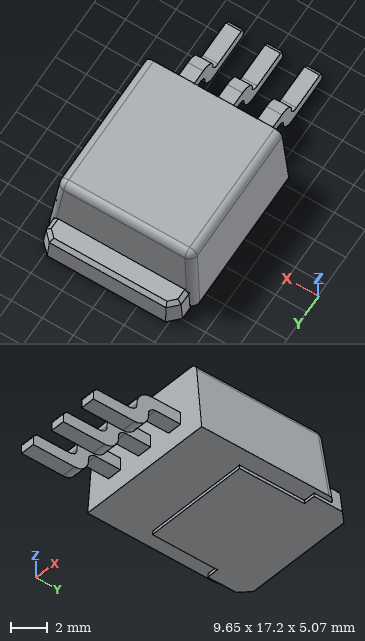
import cadquery as cq
import math

total_length = 17.25
total_height = 5.07
lead_reach = 6.23
draft_angle = 5.5
draft_slope = math.tan(math.radians(draft_angle))

housing_width = 9.65
housing_length = 9.6
housing_bottom = 0.26
housing_round = 0.5
housing_height = total_height - housing_bottom

tab_back = total_length - lead_reach
tab_head_width = 8.99
tab_pad_width = 7.37
tab_shoulder = 8.31
tab_front = 3.67
tab_height = 1.6
tab_corner = 0.67
bevel_height = 0.2
bevel_width = 0.28

lead_count = 3
lead_pitch = 2.54
lead_width = 1.0
lead_thickness = 0.83
lead_top = 2.4
foot_length = 3.12
bend_outer = 1.0
bend_inner = bend_outer / 2
lead_tip_chamfer = 0.25


def make_tab():
    """Drafted T-shaped plate with a bevel around its top."""
    head_half = tab_head_width / 2
    pad_half = tab_pad_width / 2
    right_side = [
        (pad_half, tab_front),
        (pad_half, tab_shoulder),
        (head_half, tab_shoulder),
        (head_half, tab_back - tab_corner),
        (head_half - tab_corner, tab_back),
    ]
    left_side = [(-x, y) for x, y in reversed(right_side)]
    bevel_angle = math.degrees(math.atan(bevel_width / bevel_height))
    plate = (
        cq.Workplane("XY")
        .polyline(right_side + left_side)
        .close()
        .extrude(tab_height - bevel_height, taper=draft_angle)
    )
    bevel = (
        plate.faces(">Z")
        .wires()
        .toPending()
        .workplane(origin=(0, 0, tab_height - bevel_height))
        .extrude(bevel_height, taper=bevel_angle, combine=False)
    )
    return plate.union(bevel)


def make_housing(tab):
    """Block with drafted sides and back, rounded edges, and a recess that fits the tab."""
    inset = draft_slope * housing_height
    half_width = housing_width / 2
    block = (
        cq.Workplane("XY", origin=(0, 0, housing_bottom))
        .polyline([
            (-half_width, 0),
            (half_width, 0),
            (half_width, housing_length),
            (-half_width, housing_length),
        ])
        .close()
        .workplane(offset=housing_height)
        .polyline([
            (-half_width + inset, 0),
            (half_width - inset, 0),
            (half_width - inset, housing_length - inset),
            (-half_width + inset, housing_length - inset),
        ])
        .close()
        .loft(ruled=True)
    )
    top_edges = cq.selectors.SubtractSelector(
        cq.StringSyntaxSelector(">Z"),
        cq.StringSyntaxSelector("<Y"),
    )
    corner_edges = block.faces("not(<Y or <Z or >Z)").edges("not(<Y or <Z or >Z or |X)")
    rounded_edges = corner_edges.add(block.edges(top_edges))
    return rounded_edges.fillet(housing_round).cut(tab)


def make_lead(x_center):
    """Flat strip bent down and out in an S, with a chamfered tip."""
    tip = -lead_reach
    upright_front = tip + foot_length
    upright_back = upright_front + lead_thickness
    lead_underside = lead_top - lead_thickness
    diagonal = math.sqrt(0.5)

    def bend(path, center_y, center_z, radius, y_sign, z_sign, end):
        """Quarter arc; the signs give the quadrant it occupies around its center."""
        middle = (
            center_y + y_sign * radius * diagonal,
            center_z + z_sign * radius * diagonal,
        )
        return path.threePointArc(middle, end)

    outer_y = upright_front + bend_outer
    outer_z = lead_top - bend_outer
    inner_y = upright_front - bend_inner
    inner_z = lead_thickness + bend_inner
    foot_outer_y = upright_back - bend_outer
    under_y = upright_back + bend_inner
    under_z = lead_underside - bend_inner

    path = cq.Workplane("YZ", origin=(x_center - lead_width / 2, 0, 0))
    path = path.moveTo(0, lead_top).lineTo(outer_y, lead_top)
    path = bend(path, outer_y, outer_z, bend_outer, -1, 1, (upright_front, outer_z))
    path = path.lineTo(upright_front, inner_z)
    path = bend(path, inner_y, inner_z, bend_inner, 1, -1, (inner_y, lead_thickness))
    path = path.lineTo(tip + lead_tip_chamfer, lead_thickness)
    path = path.lineTo(tip, lead_thickness - lead_tip_chamfer)
    path = path.lineTo(tip, 0).lineTo(foot_outer_y, 0)
    path = bend(path, foot_outer_y, bend_outer, bend_outer, 1, -1, (upright_back, bend_outer))
    path = path.lineTo(upright_back, under_z)
    path = bend(path, under_y, under_z, bend_inner, -1, 1, (under_y, lead_underside))
    path = path.lineTo(0, lead_underside).close()
    return path.extrude(lead_width)


tab = make_tab()
housing = make_housing(tab)
leads = []
for index in range(lead_count):
    x_center = (index - (lead_count - 1) / 2) * lead_pitch
    leads.append(make_lead(x_center))

result = cq.Compound.makeCompound([housing.val(), tab.val(), *[lead.val() for lead in leads]])